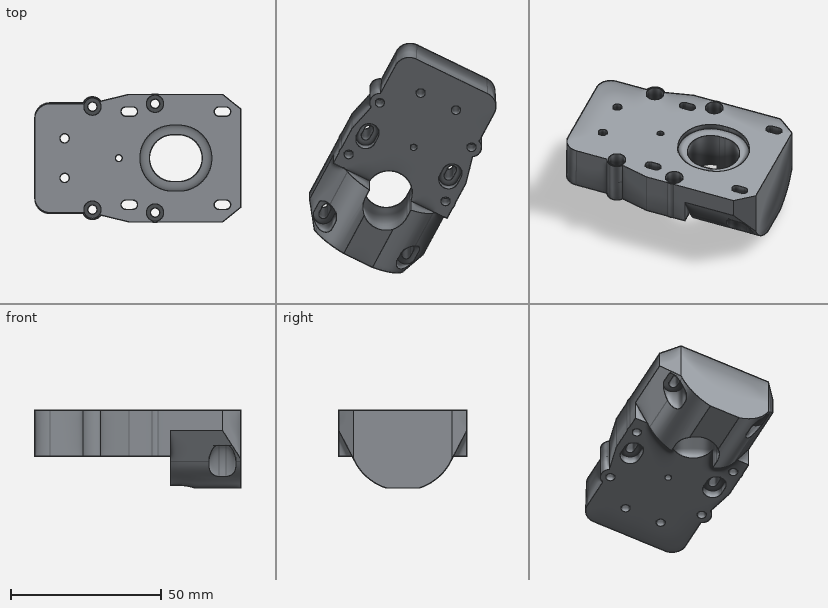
import cadquery as cq
import math

length = 68.55
plate_height = 15.35
total_height = 26.0
drop = total_height - plate_height

narrow_half_top = 18.1
narrow_half_bottom = 18.45
corner_radius = 5.1

wide_half = 21.25
flare_start_x = 19.2
flare_start_half = 18.3
flare_end_x = 31.3
chamfer_x = 62.5
chamfer_end_half = 16.4

cradle_x = 45.1
cradle_length = length - cradle_x
cradle_shoulder_z = 8.5
cradle_radius = 17.95
cradle_axis_z = 6.5

boss_diameter = 6.65
boss_centres = [(19.2, 17.15), (40.05, 18.1)]
screw_diameter = 3.0
head_diameter = 5.75
head_depth = plate_height / 2

motor_x = 46.95
motor_pitch = 31.0
screw_travel = 2.4
access_diameter = 6.65
access_top_z = 3.6
bore_diameter = 15.5
pilot_diameter = 22.0
pilot_depth = 2.0
bore_travel = 2.0

rear_hole_x = 9.95
rear_hole_y = 6.6
pin_x = 28.0
pin_diameter = 2.2


def cylinder(x, y, diameter, z_low, z_high):
    """Upright cylinder between two heights."""
    return cq.Workplane("XY", origin=(x, y, z_low)).circle(diameter / 2).extrude(z_high - z_low)


def slot(x, y, diameter, stretch, z_low, z_high):
    """Upright round-ended slot, stretched along X."""
    plane = cq.Workplane("XY", origin=(x, y, z_low))
    return plane.slot2D(diameter + stretch, diameter).extrude(z_high - z_low)


def narrow_end():
    """Tapered block with rounded corners at the narrow end."""
    section = [
        (-narrow_half_bottom, 0),
        (narrow_half_bottom, 0),
        (narrow_half_top, plate_height),
        (-narrow_half_top, plate_height),
    ]
    block = cq.Workplane("YZ").polyline(section).close().extrude(cradle_x)
    return block.faces("<X").edges("not #Z").fillet(corner_radius)


def wide_end():
    """Flared plate with chamfered far corners, reaching down to the cradle bottom."""
    upper_side = [
        (flare_start_x, flare_start_half),
        (flare_end_x, wide_half),
        (chamfer_x, wide_half),
        (length, chamfer_end_half),
    ]
    lower_side = [(x, -y) for x, y in reversed(upper_side)]
    outline = cq.Workplane("XY", origin=(0, 0, -drop)).polyline(upper_side + lower_side).close()
    column = outline.extrude(total_height)
    plate_part = cq.Workplane("XY").box(cradle_x, 2 * wide_half, plate_height, centered=(False, True, False))
    return column.intersect(plate_part.union(cradle_envelope()))


def cradle_envelope():
    """Cross-section limits of the wide end: vertical sides, tangent slopes, round bottom, flat keel."""
    rise = cradle_shoulder_z - cradle_axis_z
    shoulder_distance = math.hypot(wide_half, rise)
    tangent_angle = math.atan2(rise, wide_half) - math.acos(cradle_radius / shoulder_distance)
    keel_angle = -math.asin((cradle_axis_z + drop) / cradle_radius)

    def on_arc(angle):
        return cradle_radius * math.cos(angle), cradle_axis_z + cradle_radius * math.sin(angle)

    def mirrored(point):
        return -point[0], point[1]

    tangent = on_arc(tangent_angle)
    middle = on_arc((tangent_angle + keel_angle) / 2)
    keel = on_arc(keel_angle)
    return (
        cq.Workplane("YZ", origin=(cradle_x, 0, 0))
        .moveTo(-wide_half, plate_height)
        .lineTo(wide_half, plate_height)
        .lineTo(wide_half, cradle_shoulder_z)
        .lineTo(*tangent)
        .threePointArc(middle, keel)
        .lineTo(*mirrored(keel))
        .threePointArc(mirrored(middle), mirrored(tangent))
        .lineTo(-wide_half, cradle_shoulder_z)
        .close()
        .extrude(cradle_length)
    )


body = narrow_end().union(wide_end())

boss_places = [(x, side * y) for x, y in boss_centres for side in (-1, 1)]
for x, y in boss_places:
    body = body.union(cylinder(x, y, boss_diameter, 0, plate_height))
for x, y in boss_places:
    body = body.cut(cylinder(x, y, screw_diameter, 0, plate_height))
    body = body.cut(cylinder(x, y, head_diameter, plate_height - head_depth, plate_height))

body = body.cut(slot(motor_x, 0, bore_diameter, bore_travel, -drop, plate_height))
body = body.cut(slot(motor_x, 0, pilot_diameter, bore_travel, plate_height - pilot_depth, plate_height))

for x_side in (-1, 1):
    for y_side in (-1, 1):
        x = motor_x + x_side * motor_pitch / 2
        y = y_side * motor_pitch / 2
        body = body.cut(slot(x, y, screw_diameter, screw_travel, access_top_z, plate_height))
        body = body.cut(slot(x, y, access_diameter, screw_travel, -drop, access_top_z))

for y in (-rear_hole_y, rear_hole_y):
    body = body.cut(cylinder(rear_hole_x, y, screw_diameter, 0, plate_height))
body = body.cut(cylinder(pin_x, 0, pin_diameter, 0, plate_height))

result = body